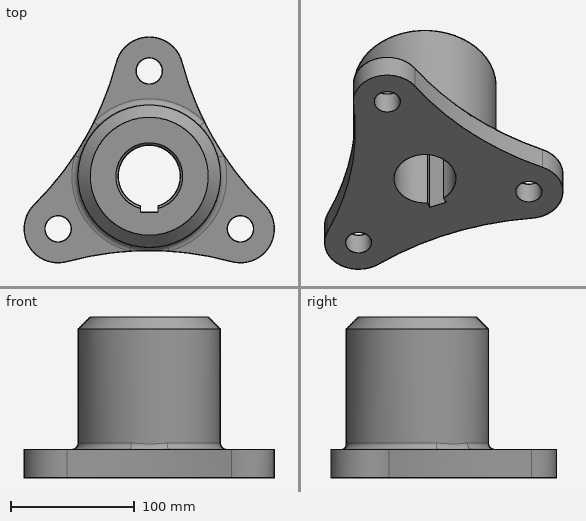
import cadquery as cq
import math

width = 202.2
height = 130.0

flange_thickness = 23.0
lobe_radius = 27.5
bolt_hole_diameter = 21.0
waist_distance = 60.0
lobe_count = 3
lobe_distance = (width - 2 * lobe_radius) / math.sqrt(3)
first_lobe_angle = 90.0

hub_diameter = 115.0
hub_chamfer = 10.0
root_fillet = 5.0

bore_diameter = 50.0
bore_chamfer = 2.0
keyway_width = 14.0
keyway_reach = 29.0

lobe_half_spacing = lobe_distance * math.sin(math.pi / lobe_count)
lobe_offset = lobe_distance * math.cos(math.pi / lobe_count)
waist_gap = waist_distance - lobe_radius
side_center_distance = (lobe_distance**2 - waist_gap**2) / (2 * (lobe_offset - waist_gap))
side_radius = side_center_distance - waist_distance
tangent_share = lobe_radius / (side_radius + lobe_radius)
tangent_across = lobe_half_spacing * (1 - tangent_share)
tangent_out = lobe_offset + tangent_share * (side_center_distance - lobe_offset)


def polar(radius, degrees):
    angle = math.radians(degrees)
    return (radius * math.cos(angle), radius * math.sin(angle))


lobe_angles = [first_lobe_angle + i * 360 / lobe_count for i in range(lobe_count)]
half_pitch = 180 / lobe_count
tangent_distance = math.hypot(tangent_across, tangent_out)
tangent_angle = half_pitch - math.degrees(math.atan2(tangent_across, tangent_out))


def make_flange():
    outline = cq.Workplane("XY").moveTo(*polar(tangent_distance, first_lobe_angle - tangent_angle))
    for angle in lobe_angles:
        lobe_tip = polar(lobe_distance + lobe_radius, angle)
        lobe_end = polar(tangent_distance, angle + tangent_angle)
        waist = polar(waist_distance, angle + half_pitch)
        next_lobe = polar(tangent_distance, angle + 2 * half_pitch - tangent_angle)
        outline = outline.threePointArc(lobe_tip, lobe_end).threePointArc(waist, next_lobe)
    return outline.close().extrude(flange_thickness)


def make_hub():
    hub = cq.Workplane("XY").circle(hub_diameter / 2).extrude(height).faces(">Z").chamfer(hub_chamfer)
    return hub.rotate((0, 0, 0), (0, 0, 1), first_lobe_angle + half_pitch)


def blend_hub_root(body):
    """Round the hub root; the blend narrows where the concave sides leave too little room."""
    root_edge = cq.selectors.NearestToPointSelector((0, 0, flange_thickness))
    return body.edges(root_edge).fillet(root_fillet)


def make_bore():
    bore = cq.Workplane("XY").circle(bore_diameter / 2).extrude(height)
    mouth = (
        cq.Workplane("XY")
        .workplane(offset=height)
        .circle(bore_diameter / 2 + bore_chamfer)
        .workplane(offset=-bore_chamfer)
        .circle(bore_diameter / 2)
        .loft(ruled=True)
    )
    keyway = cq.Workplane("XY").center(0, -keyway_reach / 2).rect(keyway_width, keyway_reach).extrude(height)
    return bore.union(mouth).union(keyway)


def make_bolt_holes():
    centers = [polar(lobe_distance, angle) for angle in lobe_angles]
    return cq.Workplane("XY").pushPoints(centers).circle(bolt_hole_diameter / 2).extrude(flange_thickness)


body = blend_hub_root(make_flange().union(make_hub()))
result = body.cut(make_bore()).cut(make_bolt_holes())